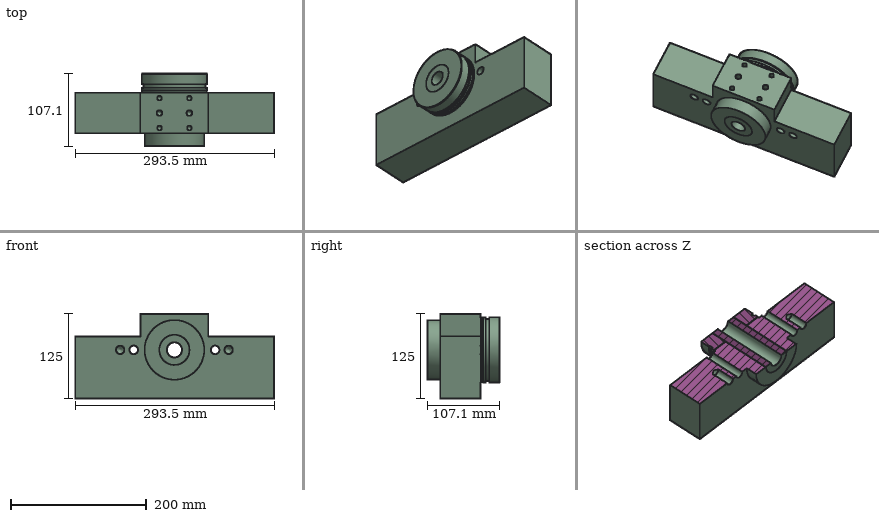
import cadquery as cq
import math


block_length = 293.5
block_depth = 60.0
block_left = -146.5
axis_height = 72.0
base_height = 92.0
total_height = 125.0
tower_width = 100.0
base_bottom = -axis_height
tower_top = base_bottom + total_height

front_boss_diameter = 88.0
front_boss_length = 18.8
rear_boss_diameter = 96.0
rear_boss_length = 2.5

ring_diameter = 96.5
ring_length = 25.8
ring_chamfer = 1.0
groove_diameter = 92.0
groove_width = 5.3
groove_offset = 4.7

sleeve_diameter = 44.5
sleeve_bore = 22.0

through_hole_diameter = 12.3
through_hole_spacing = 120.0
blind_hole_diameter = 12.0
blind_hole_spacing = 160.0
blind_hole_depth = 29.4

top_hole_spacing_x = 44.0
top_hole_spacing_y = 44.0
small_top_hole_diameter = 6.8
large_top_hole_diameter = 8.0
top_hole_depth = 14.7

drill_point_angle = 118.0
countersink_size = 0.3

front_end = -front_boss_length
ring_front = block_depth + rear_boss_length
rear_end = ring_front + ring_length


def cylinder_along_y(diameter, y_start, y_end):
    """Cylinder on the bore axis between two Y positions."""
    return cq.Workplane("XZ", origin=(0, y_start, 0)).circle(diameter / 2).extrude(y_start - y_end)


def drilled_holes(face, points, diameter, depth, countersink=0.0):
    """Blind holes with conical bottoms and optional 45-degree countersinks, sunk into a face plane."""
    radius = diameter / 2
    point_length = radius / math.tan(math.radians(drill_point_angle / 2))
    mouth = [(0, 0), (radius, 0)]
    if countersink > 0:
        mouth = [(0, 0), (radius + countersink, 0), (radius, -countersink)]
    drill_profile = mouth + [(radius, -depth), (0, -depth - point_length)]
    drill = cq.Workplane("XZ").polyline(drill_profile).close().revolve(360, (0, 0), (0, 1)).val()
    return face.pushPoints(points).eachpoint(lambda place: drill.moved(place), combine=False)


def make_housing():
    base = cq.Workplane("XY").box(block_length, block_depth, base_height, centered=False)
    base = base.translate((block_left, 0, base_bottom))
    tower = cq.Workplane("XY").box(tower_width, block_depth, total_height, centered=(True, False, False))
    tower = tower.translate((0, 0, base_bottom))
    housing = base.union(tower)
    housing = housing.union(cylinder_along_y(front_boss_diameter, front_end, block_depth))
    housing = housing.union(cylinder_along_y(rear_boss_diameter, block_depth / 2, ring_front))
    housing = housing.cut(cylinder_along_y(sleeve_diameter, front_end, ring_front))

    for side in (-1, 1):
        through_hole = cylinder_along_y(through_hole_diameter, 0, block_depth)
        housing = housing.cut(through_hole.translate((side * through_hole_spacing / 2, 0, 0)))

    front_face = cq.Workplane("XZ")
    blind_points = [(side * blind_hole_spacing / 2, 0) for side in (-1, 1)]
    blind_holes = drilled_holes(
        front_face, blind_points, blind_hole_diameter, blind_hole_depth, countersink_size
    )
    housing = housing.cut(blind_holes)

    top_face = cq.Workplane("XY", origin=(0, block_depth / 2, tower_top))
    small_points = [
        (x_side * top_hole_spacing_x / 2, y_side * top_hole_spacing_y / 2)
        for x_side in (-1, 1)
        for y_side in (-1, 1)
    ]
    large_points = [(x_side * top_hole_spacing_x / 2, 0) for x_side in (-1, 1)]
    small_holes = drilled_holes(top_face, small_points, small_top_hole_diameter, top_hole_depth)
    large_holes = drilled_holes(
        top_face, large_points, large_top_hole_diameter, top_hole_depth, countersink_size
    )
    return housing.cut(small_holes).cut(large_holes)


def make_ring():
    ring = cylinder_along_y(ring_diameter, ring_front, rear_end).edges().chamfer(ring_chamfer)
    groove_start = ring_front + groove_offset
    groove_end = groove_start + groove_width
    groove = cylinder_along_y(ring_diameter, groove_start, groove_end)
    groove = groove.cut(cylinder_along_y(groove_diameter, groove_start, groove_end))
    return ring.cut(groove).cut(cylinder_along_y(sleeve_diameter, ring_front, rear_end))


def make_sleeve():
    sleeve = cylinder_along_y(sleeve_diameter, front_end, rear_end)
    return sleeve.cut(cylinder_along_y(sleeve_bore, front_end, rear_end))


housing = make_housing()
ring = make_ring()
sleeve = make_sleeve()
result = cq.Compound.makeCompound([housing.val(), ring.val(), sleeve.val()])